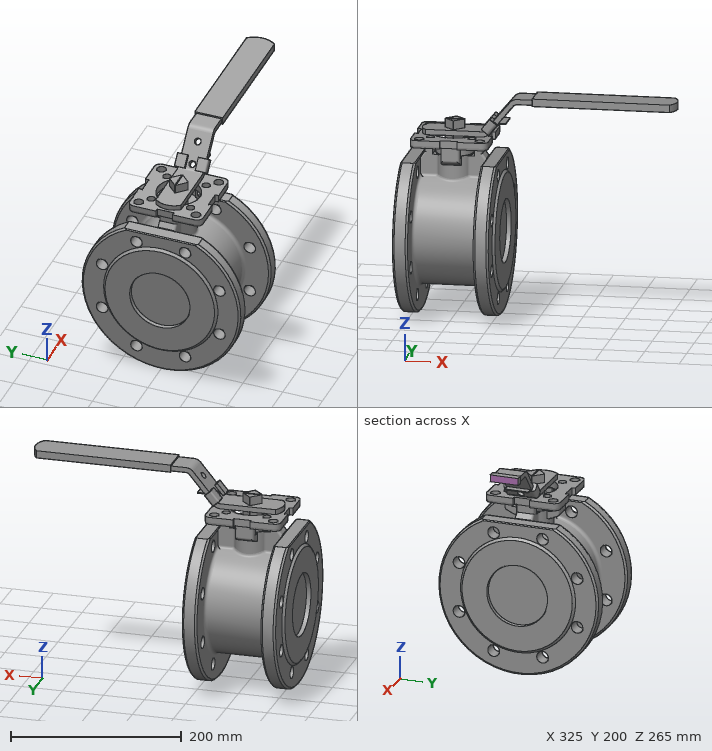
import cadquery as cq
import math


TOLERANCE = 0.01

FACE_TO_FACE = 120.0
FLANGE_RADIUS = 100.0
FLANGE_THICKNESS = 18.0
FLANGE_CHAMFER = 2.4
FLANGE_FLAT_HEIGHT = 88.5
FLAT_CHAMFER = 1.2
RAISED_FACE_HEIGHT = 3.0
RAISED_FACE_RADIUS = 69.0
RAISED_FACE_BASE_RADIUS = 72.0
BODY_RADIUS = 66.0
ROOT_FILLET = 4.0
PORT_RADIUS = 38.0
PORT_DEPTH = 5.5
BOLT_COUNT = 8
BOLT_CIRCLE_RADIUS = 80.0
BOLT_HOLE_DIAMETER = 14.5

FACE_X = FACE_TO_FACE / 2
FLANGE_OUTER_X = FACE_X - RAISED_FACE_HEIGHT
FLANGE_INNER_X = FLANGE_OUTER_X - FLANGE_THICKNESS

NECK_RADIUS = 21.8
NECK_TOP = 93.0
WEB_TOP = 91.5
GLAND_RADIUS = 22.6
GLAND_TOP = 101.5
LEG_WIDTH = 22.5
LEG_HEAD_FLARE = 1.0
LEG_INNER = 25.0
LEG_OUTER = 34.3
LEG_EDGE_FILLET = 3.0
FLARE_TOP = 94.6
SIDE_LEG_BOTTOM = 87.7
SIDE_LEG_ROOT = 82.0

PAD_SIZE = 92.5
PAD_BOTTOM = 107.0
PAD_TOP = 116.0
PAD_CORNER_RADIUS = 7.8
PAD_EDGE_HEIGHT = 2.3
PAD_EDGE_INSET = 0.4
PAD_BORE_RADIUS = 26.7
PAD_NOTCH_WIDTH = 20.8
PAD_NOTCH_DEPTH = 4.4
OUTER_HOLE_CIRCLE = 102.0
OUTER_HOLE_DIAMETER = 11.3
INNER_HOLE_CIRCLE = 70.0
INNER_HOLE_DIAMETER = 9.6
PAD_HOLE_COUNT = 4

STEM_SQUARE = 17.0
STEM_CORNER_RADIUS = 11.6
STEM_TOP = 133.0
STEM_MARK_WIDTH = 1.0
STEM_MARK_DEPTH = 0.5

LEVER_WIDTH = 31.7
LEVER_THICKNESS = 6.3
LEVER_START = -38.5
LEVER_END_RISE = 6.0
LEVER_ANGLE = 50.0
LOWER_BEND_X = 38.5
LOWER_Z = PAD_TOP + LEVER_THICKNESS / 2
UPPER_Z = 160.0
BEND_RADIUS = 5.0
GRIP_START = 95.0
GRIP_END = 265.0
GRIP_WIDTH = 35.2
GRIP_TOP = 165.0
GRIP_BOTTOM = 155.9
GRIP_END_RISE = 6.5
LEVER_HOLE_DIAMETER = 8.0
LEVER_HOLE_OFFSETS = (9.7, 37.0)

SLIDE_START = 3.0
SLIDE_LENGTH = 16.0
SLIDE_WIDTH = 40.0
SLIDE_BOTTOM = -4.2
SLIDE_TOP = 7.2
SLIDE_GAP = 13.6
SLIDE_TOP_FILLET = 2.0
SLIDE_BOTTOM_FILLET = 4.0
TONGUE_START = 49.0
TONGUE_END = 63.0
TONGUE_WIDTH = 30.0
TONGUE_THICKNESS = 1.2
TONGUE_Z = 132.7


def make_flanged_body():
    profile = (
        cq.Workplane("XY")
        .moveTo(-FACE_X, 0)
        .lineTo(-FACE_X, RAISED_FACE_RADIUS)
        .lineTo(-FLANGE_OUTER_X, RAISED_FACE_BASE_RADIUS)
        .lineTo(-FLANGE_OUTER_X, FLANGE_RADIUS - FLANGE_CHAMFER)
        .lineTo(-FLANGE_OUTER_X + FLANGE_CHAMFER, FLANGE_RADIUS)
        .lineTo(-FLANGE_INNER_X - FLANGE_CHAMFER, FLANGE_RADIUS)
        .lineTo(-FLANGE_INNER_X, FLANGE_RADIUS - FLANGE_CHAMFER)
        .lineTo(-FLANGE_INNER_X, BODY_RADIUS)
        .lineTo(0, BODY_RADIUS)
        .lineTo(0, 0)
        .close()
    )
    half = profile.revolve(360, (0, 0, 0), (1, 0, 0))
    body = half.union(half.mirror("YZ"))

    span = 2 * FLANGE_RADIUS
    cap = cq.Workplane("XY").box(2 * FLANGE_OUTER_X, span, span, centered=(True, True, False))
    cap = cap.translate((0, 0, FLANGE_FLAT_HEIGHT))
    body = body.cut(cap)
    flat_edges = (
        (-FLANGE_OUTER_X, FLAT_CHAMFER),
        (-FLANGE_INNER_X, -FLAT_CHAMFER),
        (FLANGE_INNER_X, FLAT_CHAMFER),
        (FLANGE_OUTER_X, -FLAT_CHAMFER),
    )
    for edge_x, inset in flat_edges:
        wedge = (
            cq.Workplane("XZ")
            .moveTo(edge_x, FLANGE_FLAT_HEIGHT - FLAT_CHAMFER)
            .lineTo(edge_x, FLANGE_FLAT_HEIGHT)
            .lineTo(edge_x + inset, FLANGE_FLAT_HEIGHT)
            .close()
            .extrude(span / 2, both=True)
        )
        body = body.cut(wedge)
    return body


def cut_ports_and_bolt_holes(body):
    for start_x in (-FACE_X, FLANGE_INNER_X):
        bolt_holes = (
            cq.Workplane("YZ", origin=(start_x, 0, 0))
            .polarArray(BOLT_CIRCLE_RADIUS, 180 / BOLT_COUNT, 360, BOLT_COUNT)
            .circle(BOLT_HOLE_DIAMETER / 2)
            .extrude(FACE_X - FLANGE_INNER_X)
        )
        body = body.cut(bolt_holes)
    for start_x in (-FACE_X, FACE_X - PORT_DEPTH):
        port = cq.Workplane("YZ", origin=(start_x, 0, 0)).circle(PORT_RADIUS).extrude(PORT_DEPTH)
        body = body.cut(port)
    return body


def make_gland():
    return cq.Workplane("XY", origin=(0, 0, NECK_TOP)).circle(GLAND_RADIUS).extrude(GLAND_TOP - NECK_TOP)


def make_end_leg():
    """Leg on the +X side: a post on a web that flares out to the flange."""
    leg = (
        cq.Workplane("XZ")
        .moveTo(0, 0)
        .lineTo(0, WEB_TOP)
        .lineTo(LEG_INNER, WEB_TOP)
        .lineTo(LEG_INNER, PAD_BOTTOM - LEG_HEAD_FLARE)
        .lineTo(LEG_INNER - LEG_HEAD_FLARE, PAD_BOTTOM)
        .lineTo(LEG_OUTER, PAD_BOTTOM)
        .lineTo(LEG_OUTER, FLARE_TOP)
        .lineTo(FLANGE_INNER_X, FLANGE_FLAT_HEIGHT)
        .lineTo(FLANGE_INNER_X, 0)
        .close()
        .extrude(LEG_WIDTH / 2, both=True)
    )
    post_edges = cq.selectors.BoxSelector(
        (LEG_OUTER - TOLERANCE, -LEG_WIDTH, FLANGE_FLAT_HEIGHT),
        (FLANGE_INNER_X, LEG_WIDTH, PAD_BOTTOM - TOLERANCE),
    )
    return leg.edges("not |Y").edges(post_edges).fillet(LEG_EDGE_FILLET)


def make_side_leg():
    """Leg on the +Y side: a post carried by a short bracket on the neck."""
    leg = (
        cq.Workplane("YZ")
        .moveTo(0, SIDE_LEG_ROOT)
        .lineTo(0, WEB_TOP)
        .lineTo(LEG_INNER, WEB_TOP)
        .lineTo(LEG_INNER, PAD_BOTTOM - LEG_HEAD_FLARE)
        .lineTo(LEG_INNER - LEG_HEAD_FLARE, PAD_BOTTOM)
        .lineTo(LEG_OUTER, PAD_BOTTOM)
        .lineTo(LEG_OUTER, SIDE_LEG_BOTTOM)
        .lineTo(NECK_RADIUS, SIDE_LEG_ROOT)
        .close()
        .extrude(LEG_WIDTH / 2, both=True)
    )
    return leg.faces(">Y").edges("not >Z").fillet(LEG_EDGE_FILLET)


def make_body_with_neck():
    """Flanged body, neck and end legs, with the roots on the body and the neck filleted."""
    body = make_flanged_body().union(cq.Workplane("XY").circle(NECK_RADIUS).extrude(NECK_TOP))
    end_leg = make_end_leg()
    for angle in (0, 180):
        body = body.union(end_leg.rotate((0, 0, 0), (0, 0, 1), angle))

    def is_body_root(edge):
        middle = edge.positionAt(0.5)
        on_body = abs(math.hypot(middle.y, middle.z) - BODY_RADIUS) < TOLERANCE
        is_seam = abs(middle.z) < TOLERANCE
        return on_body and not is_seam

    def is_neck_root(edge):
        middle = edge.positionAt(0.5)
        return abs(math.hypot(middle.x, middle.y) - NECK_RADIUS) < TOLERANCE

    roots = [edge for edge in body.edges().vals() if is_body_root(edge)]
    roots += [edge for edge in body.edges("|Z").vals() if is_neck_root(edge)]
    return body.newObject(roots).fillet(ROOT_FILLET)


def make_mounting_pad():
    thickness = PAD_TOP - PAD_BOTTOM
    pad = (
        cq.Workplane("XY", origin=(0, 0, PAD_BOTTOM))
        .rect(PAD_SIZE, PAD_SIZE)
        .extrude(thickness)
        .edges("|Z")
        .fillet(PAD_CORNER_RADIUS)
        .faces("<Z")
        .chamfer(PAD_EDGE_HEIGHT, PAD_EDGE_INSET)
    )
    cutters = cq.Workplane("XY", origin=(0, 0, PAD_BOTTOM)).circle(PAD_BORE_RADIUS).extrude(thickness)
    for circle, diameter in (
        (OUTER_HOLE_CIRCLE, OUTER_HOLE_DIAMETER),
        (INNER_HOLE_CIRCLE, INNER_HOLE_DIAMETER),
    ):
        holes = (
            cq.Workplane("XY", origin=(0, 0, PAD_BOTTOM))
            .polarArray(circle / 2, 180 / PAD_HOLE_COUNT, 360, PAD_HOLE_COUNT)
            .circle(diameter / 2)
            .extrude(thickness)
        )
        cutters = cutters.union(holes)
    notch = (
        cq.Workplane("XY", origin=(PAD_SIZE / 2, 0, PAD_BOTTOM))
        .rect(2 * PAD_NOTCH_DEPTH, PAD_NOTCH_WIDTH)
        .extrude(thickness)
    )
    for angle in (0, 90, 180, 270):
        cutters = cutters.union(notch.rotate((0, 0, 0), (0, 0, 1), angle))
    return pad.cut(cutters)


def make_stem():
    length = STEM_TOP - NECK_TOP
    base = cq.Workplane("XY", origin=(0, 0, NECK_TOP))
    square = base.rect(STEM_SQUARE, STEM_SQUARE).extrude(length).rotate((0, 0, 0), (0, 0, 1), 45)
    stem = square.intersect(base.circle(STEM_CORNER_RADIUS).extrude(length))
    mark = cq.Workplane("XY").box(2 * STEM_CORNER_RADIUS, STEM_MARK_WIDTH, 2 * STEM_MARK_DEPTH)
    return stem.cut(mark.translate((0, 0, STEM_TOP)))


def on_sloping_arm(shape):
    """Move a shape from arm coordinates (X up the arm, Z square to it) into place."""
    return shape.rotate((0, 0, 0), (0, 1, 0), -LEVER_ANGLE).translate((LOWER_BEND_X, 0, LOWER_Z))


def make_round_ended_bar(square_end, round_end, bulge, width, bottom, top):
    """Flat bar along X with one square end and one end that bulges outward in an arc."""
    arc_x = round_end - bulge
    return (
        cq.Workplane("XY", origin=(0, 0, bottom))
        .moveTo(square_end, -width / 2)
        .lineTo(arc_x, -width / 2)
        .threePointArc((round_end, 0), (arc_x, width / 2))
        .lineTo(square_end, width / 2)
        .close()
        .extrude(top - bottom)
    )


def make_lever_strip():
    half = LEVER_THICKNESS / 2
    slope = math.radians(LEVER_ANGLE)
    upper_bend_x = LOWER_BEND_X + (UPPER_Z - LOWER_Z) / math.tan(slope)
    shift = half * math.tan(slope / 2)
    strip = (
        cq.Workplane("XZ")
        .moveTo(LEVER_START, LOWER_Z - half)
        .lineTo(LOWER_BEND_X + shift, LOWER_Z - half)
        .lineTo(upper_bend_x + shift, UPPER_Z - half)
        .lineTo(GRIP_START, UPPER_Z - half)
        .lineTo(GRIP_START, UPPER_Z + half)
        .lineTo(upper_bend_x - shift, UPPER_Z + half)
        .lineTo(LOWER_BEND_X - shift, LOWER_Z + half)
        .lineTo(LEVER_START, LOWER_Z + half)
        .close()
        .extrude(LEVER_WIDTH / 2, both=True)
    )

    def bend_edge(x, z):
        return cq.selectors.NearestToPointSelector((x, 0, z))

    inner_edges = (
        (LOWER_BEND_X - shift, LOWER_Z + half),
        (upper_bend_x + shift, UPPER_Z - half),
    )
    outer_edges = (
        (LOWER_BEND_X + shift, LOWER_Z - half),
        (upper_bend_x - shift, UPPER_Z + half),
    )
    for x, z in inner_edges:
        strip = strip.edges("|Y").edges(bend_edge(x, z)).fillet(BEND_RADIUS)
    for x, z in outer_edges:
        strip = strip.edges("|Y").edges(bend_edge(x, z)).fillet(BEND_RADIUS + LEVER_THICKNESS)

    end_outline = make_round_ended_bar(
        GRIP_START, LEVER_START, -LEVER_END_RISE, LEVER_WIDTH, PAD_TOP, GRIP_TOP
    )
    return strip.intersect(end_outline)


def make_grip():
    return make_round_ended_bar(GRIP_START, GRIP_END, GRIP_END_RISE, GRIP_WIDTH, GRIP_BOTTOM, GRIP_TOP)


def make_lock_slide():
    height = SLIDE_TOP - SLIDE_BOTTOM
    slide = (
        cq.Workplane("XY", origin=(SLIDE_START + SLIDE_LENGTH / 2, 0, SLIDE_BOTTOM))
        .rect(SLIDE_LENGTH, SLIDE_WIDTH)
        .extrude(height)
    )
    slide = slide.edges("|X and >Z").fillet(SLIDE_TOP_FILLET)
    slide = slide.edges("|X and <Z").fillet(SLIDE_BOTTOM_FILLET)
    gap = (
        cq.Workplane("XY", origin=(SLIDE_START + SLIDE_LENGTH / 2, 0, 0))
        .rect(SLIDE_LENGTH, SLIDE_GAP)
        .extrude(SLIDE_TOP)
    )
    tongue = cq.Workplane("XY").box(
        TONGUE_END - TONGUE_START, TONGUE_WIDTH, TONGUE_THICKNESS, centered=(False, True, True)
    )
    return on_sloping_arm(slide.cut(gap)).union(tongue.translate((TONGUE_START, 0, TONGUE_Z)))


def make_lever():
    lever = make_lever_strip().union(make_grip()).union(make_lock_slide())
    for offset in LEVER_HOLE_OFFSETS:
        hole = (
            cq.Workplane("XY", origin=(offset, 0, SLIDE_BOTTOM))
            .circle(LEVER_HOLE_DIAMETER / 2)
            .extrude(SLIDE_TOP - SLIDE_BOTTOM)
        )
        lever = lever.cut(on_sloping_arm(hole))
    return lever


def make_valve():
    valve = make_body_with_neck()
    side_leg = make_side_leg()
    for angle in (0, 180):
        valve = valve.union(side_leg.rotate((0, 0, 0), (0, 0, 1), angle))
    for component in (make_gland(), make_mounting_pad(), make_stem(), make_lever()):
        valve = valve.union(component)
    return cut_ports_and_bolt_holes(valve)


result = make_valve()